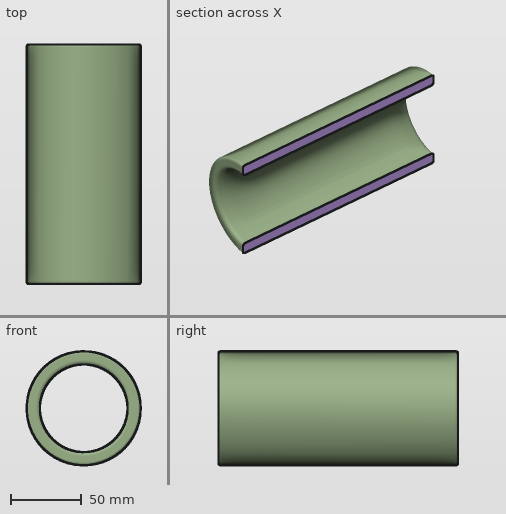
import cadquery as cq

OUTER_DIAMETER = 81.0
BORE_DIAMETER = 62.0
LENGTH = 170.0
OUTER_FILLET = 2.0
BORE_FILLET = 3.0


def hollow_tube():
    """Plain tube along Y, centred on the origin."""
    far_end = cq.Workplane("XZ", origin=(0, LENGTH / 2, 0))
    section = far_end.circle(OUTER_DIAMETER / 2).circle(BORE_DIAMETER / 2)
    return section.extrude(LENGTH)


def round_end_edges(tube):
    """Round the outer and bore edges on both end faces."""
    outer_edges = cq.selectors.RadiusNthSelector(-1)
    bore_edges = cq.selectors.RadiusNthSelector(0)
    tube = tube.faces("<Y or >Y").edges(outer_edges).fillet(OUTER_FILLET)
    return tube.faces("<Y or >Y").edges(bore_edges).fillet(BORE_FILLET)


result = round_end_edges(hollow_tube())